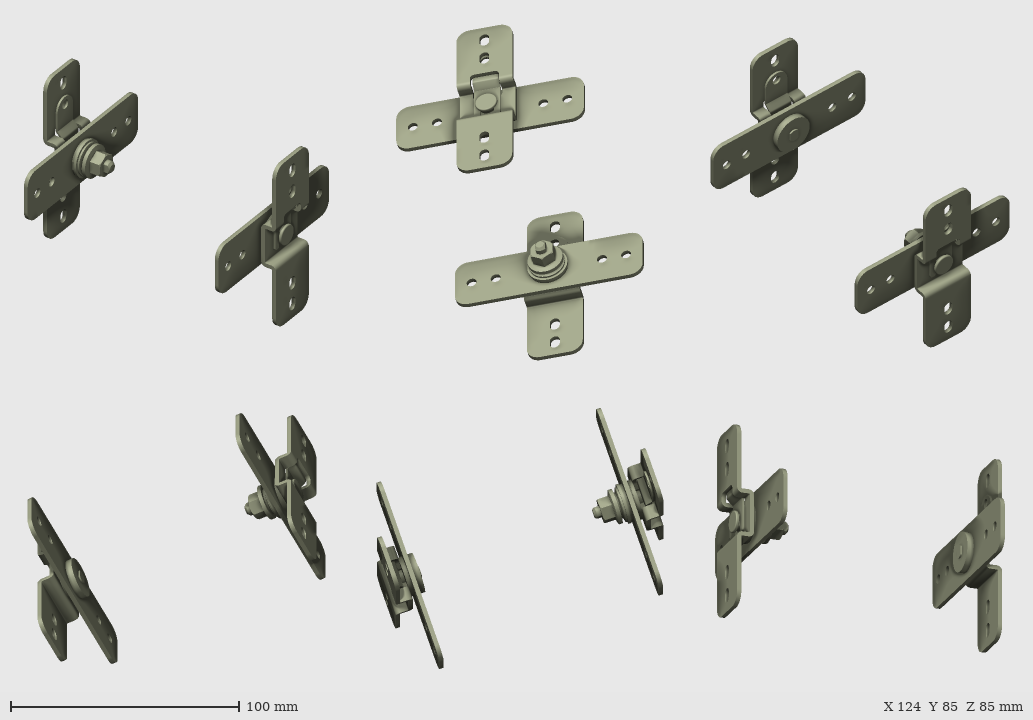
import cadquery as cq
import math


OVERALL_X = 124.0
STRAP_LENGTH = 85.0
STRAP_WIDTH = 25.3
STRAP_CORNER = 6.0
SHEET = 2.0

HOLE_RADIUS = 2.2
HOLE_INNER = 24.0
HOLE_OUTER = 35.0
SLOT_LENGTH = 6.6

JOGGLE_DEPTH = 7.9
JOGGLE_HALF_HEIGHT = 11.0
BEND_INNER = 0.5
BEND_OUTER = BEND_INNER + SHEET
WEB_INNER_X = JOGGLE_DEPTH - SHEET

WINDOW_HALF_WIDTH = 6.6
WINDOW_TOP = 15.0
WINDOW_SHOULDER = 5.8
WINDOW_CORNER = 2.0
WINDOW_SLOPE = 30.0
SLOT_MOUTH_ROUND = 1.0

HEAD_START = 2.5
HEAD_END = 4.1
HEAD_RADIUS = 5.0
HEAD_ROUND = 0.56
NECK_RADIUS = 4.0
NECK_HALF_FLAT = 3.0
STUD_RADIUS = 3.0
STUD_HALF_FLAT = 2.2
WASHER_RADIUS = 9.0
HUB_RADIUS = 8.7
HUB_HALF_FLAT = 8.4

CLIP_SHEET = 1.0
CLIP_HALF_WIDTH = 6.0
CLIP_BOTTOM = -6.0
CLIP_TOP = 28.0
CLIP_KNEE = 12.5
CLIP_RISE_ANGLE = 45.0
CLIP_BEND_INNER = 0.2
CLIP_BEND_OUTER = CLIP_BEND_INNER + CLIP_SHEET
CLIP_LEG_ROUND = 1.0

NEAR_ARM_START = 10.4
NEAR_FLANGE_END = 9.7
NEAR_HUB_END = 13.6
NEAR_WASHER_END = 14.9
SPRING_RADIUS = 7.9
SPRING_CORE_RADIUS = 6.0
SPRING_RIM = 0.9
SPRING_CONE = 0.6
SECOND_SPRING_START = 17.2
THIRD_SPRING_START = 18.1
NUT_START = THIRD_SPRING_START + SPRING_RIM + SPRING_CONE
NUT_END = 24.9
NUT_ACROSS_FLATS = 10.0
NUT_CHAMFER = 0.6
NUT_HALF_SECTOR = 30.0
THREAD_END = 28.1
THREAD_CHAMFER = 1.1

FAR_ARM_START = 9.9
FAR_SHIM_START = 12.8
FAR_CAP_START = 13.3
FAR_CAP_END = 14.9
FAR_STUD_END = 15.6

PICK_HALF_SIZE = 0.1


def box_around(x, y, z):
    """Selector for the edge whose middle lies at a given point."""
    low = (x - PICK_HALF_SIZE, y - PICK_HALF_SIZE, z - PICK_HALF_SIZE)
    high = (x + PICK_HALF_SIZE, y + PICK_HALF_SIZE, z + PICK_HALF_SIZE)
    return cq.selectors.BoxSelector(low, high)


def disc(start, end, radius):
    """Round disc on the pivot axis between two X positions."""
    return cq.Workplane("YZ", origin=(start, 0, 0)).circle(radius).extrude(end - start)


def flatted_disc(start, end, radius, half_flat):
    """Disc with two parallel flats facing -Y and +Y."""
    trim = cq.Workplane("YZ", origin=(start, 0, 0)).rect(2 * half_flat, 2 * radius).extrude(end - start)
    return disc(start, end, radius).intersect(trim)


def make_bracket():
    """Joggled strap along Z with four slots and a clip window."""
    half = STRAP_LENGTH / 2
    outer = JOGGLE_HALF_HEIGHT
    inner = outer - SHEET
    profile = (
        cq.Workplane("XZ", origin=(0, STRAP_WIDTH / 2, 0))
        .moveTo(0, half)
        .lineTo(SHEET, half)
        .lineTo(SHEET, outer)
        .lineTo(JOGGLE_DEPTH, outer)
        .lineTo(JOGGLE_DEPTH, -outer)
        .lineTo(SHEET, -outer)
        .lineTo(SHEET, -half)
        .lineTo(0, -half)
        .lineTo(0, -inner)
        .lineTo(WEB_INNER_X, -inner)
        .lineTo(WEB_INNER_X, inner)
        .lineTo(0, inner)
        .close()
    )
    strap = profile.extrude(STRAP_WIDTH)

    for bend_x, bend_z, radius in (
        (0, inner, BEND_OUTER),
        (SHEET, outer, BEND_INNER),
        (JOGGLE_DEPTH, outer, BEND_OUTER),
        (WEB_INNER_X, inner, BEND_INNER),
    ):
        for z in (bend_z, -bend_z):
            strap = strap.edges(box_around(bend_x, 0, z)).fillet(radius)

    strap = strap.edges("|X and (>Z or <Z)").fillet(STRAP_CORNER)
    slots = (
        cq.Workplane("YZ")
        .pushPoints([(0, z) for z in (-HOLE_OUTER, -HOLE_INNER, HOLE_INNER, HOLE_OUTER)])
        .slot2D(SLOT_LENGTH, 2 * HOLE_RADIUS, 90)
        .extrude(SHEET)
    )
    mouth_drop = (WINDOW_HALF_WIDTH - NECK_HALF_FLAT) * math.tan(math.radians(WINDOW_SLOPE))
    mouth_z = WINDOW_SHOULDER - mouth_drop
    window = (
        cq.Workplane("YZ")
        .moveTo(-WINDOW_HALF_WIDTH, WINDOW_TOP)
        .lineTo(WINDOW_HALF_WIDTH, WINDOW_TOP)
        .lineTo(WINDOW_HALF_WIDTH, WINDOW_SHOULDER)
        .lineTo(NECK_HALF_FLAT, mouth_z)
        .lineTo(NECK_HALF_FLAT, 0)
        .lineTo(-NECK_HALF_FLAT, 0)
        .lineTo(-NECK_HALF_FLAT, mouth_z)
        .lineTo(-WINDOW_HALF_WIDTH, WINDOW_SHOULDER)
        .close()
        .extrude(JOGGLE_DEPTH)
        .edges("|X and (<Y or >Y)")
        .fillet(WINDOW_CORNER)
    )
    for y in (-NECK_HALF_FLAT, NECK_HALF_FLAT):
        window = window.edges(box_around(JOGGLE_DEPTH / 2, y, mouth_z)).fillet(SLOT_MOUTH_ROUND)
    neck_hole = flatted_disc(WEB_INNER_X, JOGGLE_DEPTH, NECK_RADIUS, NECK_HALF_FLAT)
    return strap.cut(slots).cut(window).cut(neck_hole)


def make_arm(start):
    """Flat strap along Y with four round holes and a flatted hole for the stud."""
    strap = (
        cq.Workplane("YZ", origin=(start, 0, 0))
        .rect(STRAP_LENGTH, STRAP_WIDTH)
        .extrude(SHEET)
        .edges("|X")
        .fillet(STRAP_CORNER)
    )
    holes = (
        cq.Workplane("YZ", origin=(start, 0, 0))
        .pushPoints([(y, 0) for y in (-HOLE_OUTER, -HOLE_INNER, HOLE_INNER, HOLE_OUTER)])
        .circle(HOLE_RADIUS)
        .extrude(SHEET)
    )
    stud_hole = flatted_disc(start, start + SHEET, STUD_RADIUS, STUD_HALF_FLAT)
    return strap.cut(holes).cut(stud_hole)


def make_clip():
    """Bent strip: forked foot on the web, sloping rise, rounded tongue behind the flange."""
    tongue_x = SHEET
    foot_x = WEB_INNER_X - CLIP_SHEET
    foot_knee = CLIP_KNEE - (foot_x - tongue_x) / math.tan(math.radians(CLIP_RISE_ANGLE))
    knee_shift = CLIP_SHEET * math.tan(math.radians(CLIP_RISE_ANGLE / 2))
    strip = (
        cq.Workplane("XZ", origin=(0, CLIP_HALF_WIDTH, 0))
        .moveTo(tongue_x, CLIP_TOP)
        .lineTo(tongue_x, CLIP_KNEE)
        .lineTo(foot_x, foot_knee)
        .lineTo(foot_x, CLIP_BOTTOM)
        .lineTo(WEB_INNER_X, CLIP_BOTTOM)
        .lineTo(WEB_INNER_X, foot_knee + knee_shift)
        .lineTo(tongue_x + CLIP_SHEET, CLIP_KNEE + knee_shift)
        .lineTo(tongue_x + CLIP_SHEET, CLIP_TOP)
        .close()
        .extrude(2 * CLIP_HALF_WIDTH)
    )
    for bend_x, bend_z, radius in (
        (tongue_x, CLIP_KNEE, CLIP_BEND_OUTER),
        (tongue_x + CLIP_SHEET, CLIP_KNEE + knee_shift, CLIP_BEND_INNER),
        (foot_x, foot_knee, CLIP_BEND_INNER),
        (WEB_INNER_X, foot_knee + knee_shift, CLIP_BEND_OUTER),
    ):
        strip = strip.edges(box_around(bend_x, 0, bend_z)).fillet(radius)

    tongue_center = CLIP_TOP - CLIP_HALF_WIDTH
    outline = (
        cq.Workplane("YZ")
        .moveTo(-CLIP_HALF_WIDTH, CLIP_BOTTOM)
        .lineTo(-CLIP_HALF_WIDTH, tongue_center)
        .threePointArc((0, CLIP_TOP), (CLIP_HALF_WIDTH, tongue_center))
        .lineTo(CLIP_HALF_WIDTH, CLIP_BOTTOM)
        .lineTo(NECK_HALF_FLAT, CLIP_BOTTOM)
        .lineTo(NECK_HALF_FLAT, 0)
        .lineTo(-NECK_HALF_FLAT, 0)
        .lineTo(-NECK_HALF_FLAT, CLIP_BOTTOM)
        .close()
        .extrude(JOGGLE_DEPTH)
        .edges("|X and <Z")
        .fillet(CLIP_LEG_ROUND)
    )
    screw_hole = cq.Workplane("YZ").center(0, HOLE_INNER).circle(HOLE_RADIUS).extrude(JOGGLE_DEPTH)
    return strip.intersect(outline).cut(screw_hole)


def make_pivot_base():
    """Round head, flatted neck and clip, common to both pivots."""
    head = disc(HEAD_START, HEAD_END, HEAD_RADIUS).edges().fillet(HEAD_ROUND)
    neck = flatted_disc(HEAD_END, JOGGLE_DEPTH, NECK_RADIUS, NECK_HALF_FLAT)
    return head.union(neck).union(make_clip())


def make_coned_spring(start):
    """Disc spring with a short cylindrical rim and a conical side toward +X."""
    rim_end = start + SPRING_RIM
    cone_end = rim_end + SPRING_CONE
    half_section = (
        cq.Workplane("XY")
        .moveTo(start, 0)
        .lineTo(start, SPRING_RADIUS)
        .lineTo(rim_end, SPRING_RADIUS)
        .lineTo(cone_end, SPRING_CORE_RADIUS)
        .lineTo(cone_end, 0)
        .close()
    )
    return half_section.revolve(360, (0, 0, 0), (1, 0, 0))


def make_nut():
    """Hexagonal nut with its corners up and down, chamfered at the free end."""
    corner_diameter = NUT_ACROSS_FLATS / math.cos(math.radians(NUT_HALF_SECTOR))
    hexagon = (
        cq.Workplane("YZ", origin=(NUT_START, 0, 0))
        .transformed(rotate=(0, 0, 90))
        .polygon(6, corner_diameter)
        .extrude(NUT_END - NUT_START)
    )
    turned = disc(NUT_START, NUT_END, corner_diameter / 2).faces(">X").chamfer(NUT_CHAMFER)
    return hexagon.intersect(turned)


def join(base, parts):
    """Fuse parts into one body, keeping the joint lines between equal discs."""
    for part in parts:
        base = base.union(part, clean=False)
    return base


def make_near_pivot():
    """Pivot with disc springs, nut and threaded end."""
    arm_end = NEAR_ARM_START + SHEET
    stud = flatted_disc(JOGGLE_DEPTH, THREAD_END, STUD_RADIUS, STUD_HALF_FLAT)
    tip = disc(JOGGLE_DEPTH, THREAD_END, STUD_RADIUS).faces(">X").chamfer(THREAD_CHAMFER)
    return join(make_pivot_base(), [
        disc(JOGGLE_DEPTH, NEAR_FLANGE_END, WASHER_RADIUS),
        flatted_disc(NEAR_FLANGE_END, NEAR_ARM_START, HUB_RADIUS, HUB_HALF_FLAT),
        flatted_disc(arm_end, NEAR_HUB_END, HUB_RADIUS, HUB_HALF_FLAT),
        disc(NEAR_HUB_END, NEAR_WASHER_END, WASHER_RADIUS),
        make_coned_spring(NEAR_WASHER_END),
        disc(NEAR_WASHER_END, NUT_START, SPRING_CORE_RADIUS),
        disc(SECOND_SPRING_START, THIRD_SPRING_START, SPRING_RADIUS),
        make_coned_spring(THIRD_SPRING_START),
        make_nut(),
        stud.intersect(tip),
    ])


def make_far_pivot():
    """Pivot with plain washers and a stud end standing slightly proud."""
    arm_end = FAR_ARM_START + SHEET
    return join(make_pivot_base(), [
        disc(JOGGLE_DEPTH, FAR_ARM_START, WASHER_RADIUS),
        disc(arm_end, FAR_SHIM_START, WASHER_RADIUS),
        disc(FAR_SHIM_START, FAR_CAP_START, WASHER_RADIUS),
        disc(FAR_CAP_START, FAR_CAP_END, WASHER_RADIUS),
        flatted_disc(JOGGLE_DEPTH, FAR_STUD_END, STUD_RADIUS, STUD_HALF_FLAT),
    ])


near_hinge = [make_bracket(), make_arm(NEAR_ARM_START), make_near_pivot()]
far_hinge = [make_bracket(), make_arm(FAR_ARM_START), make_far_pivot()]

bodies = [body.val() for body in near_hinge]
for body in far_hinge:
    bodies.append(body.mirror("YZ", (OVERALL_X / 2, 0, 0)).val())

result = cq.Compound.makeCompound(bodies)